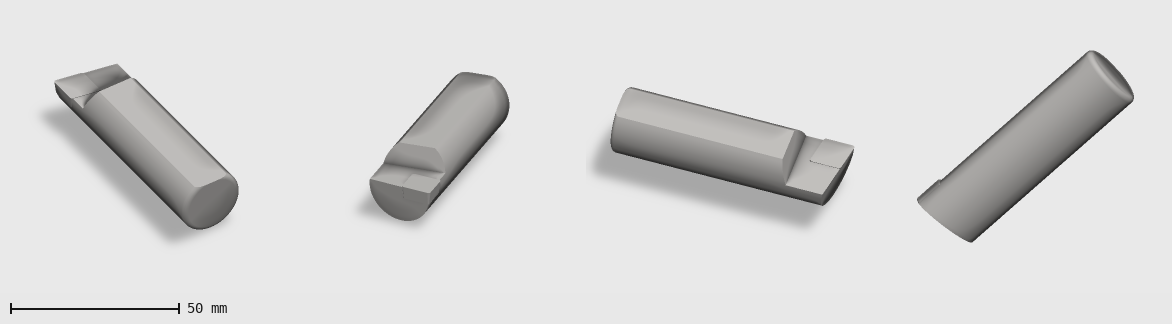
import cadquery as cq
import math


shank_diameter = 20.0
shank_radius = shank_diameter / 2
overall_length = 70.0
flat_height = 8.3
rear_fillet = 1.5

seat_height = 1.8
seat_length = 15.0
shoulder_angle = 20.0

inscribed_circle = 9.525
insert_thickness = 3.97
nose_angle = 80.0
nose_radius = 0.8
relief_angle = 7.0
insert_top = 2.0
nose_reach = 10.49

lead_angle = 90.0 - nose_angle
end_setback = 0.1

lead_slope = math.tan(math.radians(lead_angle))
relief_slope = math.tan(math.radians(relief_angle))


def make_rhombus_prism(corner_radius=0):
    """Tapered rhombus whose cutting edge lies at Y = -nose_reach; a radius of 0 keeps its corners sharp."""
    side = inscribed_circle / math.sin(math.radians(nose_angle))
    side_run = inscribed_circle * lead_slope
    corner_x = nose_radius - nose_radius / math.tan(math.radians(nose_angle / 2))
    outline = (
        cq.Sketch()
        .polygon([
            (0, 0),
            (side, 0),
            (side + side_run, inscribed_circle),
            (side_run, inscribed_circle),
            (0, 0),
        ])
    )
    if corner_radius > 0:
        outline = outline.vertices().fillet(corner_radius)
    return (
        cq.Workplane("XY", origin=(corner_x, -nose_reach, insert_top))
        .placeSketch(outline)
        .extrude(-insert_thickness, taper=relief_angle)
    )


def make_round_bar():
    """Full-length cylinder with a rounded rear edge and a flat along the top."""
    bar = (
        cq.Workplane("YZ")
        .circle(shank_radius)
        .extrude(overall_length)
        .faces(">X")
        .edges()
        .fillet(rear_fillet)
    )
    above_flat = (
        cq.Workplane("XY", origin=(0, 0, flat_height))
        .rect(2 * overall_length, 2 * shank_diameter)
        .extrude(shank_radius)
    )
    return bar.cut(above_flat)


def make_notch():
    """Space above the insert seat, closed at the rear by the sloping shoulder."""
    rise = shank_radius - seat_height
    shoulder_run = rise * math.tan(math.radians(shoulder_angle))
    return (
        cq.Workplane("XZ")
        .polyline([
            (-seat_length, seat_height),
            (seat_length, seat_height),
            (seat_length + shoulder_run, shank_radius),
            (-seat_length, shank_radius),
        ])
        .close()
        .extrude(shank_radius, both=True)
    )


def make_front_waste():
    """Material ahead of the end face, which leans with the insert's leading side and relief."""
    lead = math.radians(lead_angle)
    tangent_x = nose_radius * (1 - math.cos(lead)) + end_setback
    tangent_y = -nose_reach + nose_radius * (1 + math.sin(lead))
    face_plane = cq.Plane(
        origin=(tangent_x, tangent_y, insert_top),
        xDir=(math.sin(lead), math.cos(lead), 0),
        normal=(-math.cos(lead), math.sin(lead), -relief_slope),
    )
    return cq.Workplane(face_plane).rect(4 * shank_diameter, 4 * shank_diameter).extrude(shank_diameter)


insert = make_rhombus_prism(nose_radius)
pocket = make_rhombus_prism()

shank = make_round_bar().cut(make_notch()).cut(make_front_waste()).cut(pocket)

result = cq.Compound.makeCompound([shank.solids().val(), insert.val()])